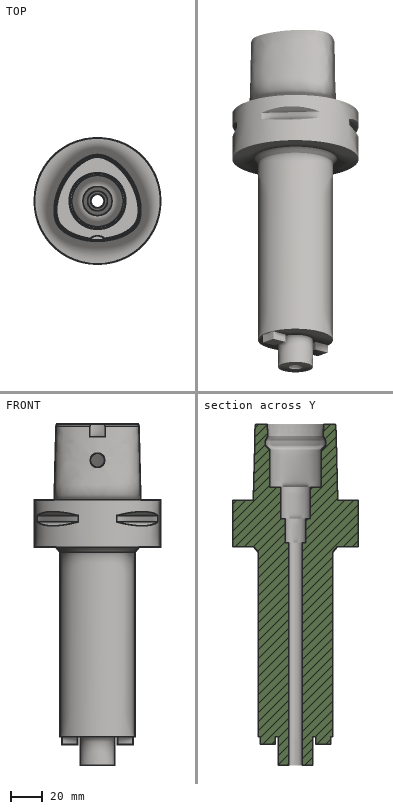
import cadquery as cq
import math


shank_diameter = 55.0
outline_points = 24
lobe_height = 1.95
shank_length = 48.0
taper_rate = 1 / 20
rim_chamfer_height = 1.4
rim_chamfer_width = 0.5

flange_diameter = 80.0
flange_length = 30.0
neck_diameter = 52.8
neck_length = 3.2
stem_diameter = 47.5
stem_end = -150.0
arbor_diameter = 22.0
arbor_length = 18.0

key_width = 10.0
key_height = 5.0
key_inner_radius = 12.5
key_outer_radius = 22.5

notch_count = 4
notch_centre = -12.0
notch_floor_height = 4.0
notch_floor_distance = 35.5
notch_flare = 2.5

mouth_diameter = 35.8
throat_diameter = 34.8
throat_depth = 7.6
groove_diameter = 37.8
groove_top_depth = 10.5
groove_bottom_depth = 13.6
cone_bottom_depth = 16.3
main_bore_diameter = 32.5
main_bore_depth = 40.0
pocket_diameter = 18.4
pocket_depth = 60.0
pilot_diameter = 12.5
pilot_depth = 75.0
through_diameter = 8.4

scallop_radius = 6.5
scallop_depth = 8.0
scallop_floor = 22.0
side_hole_diameter = 9.0
side_hole_depth = 23.0

shank_top = shank_length
arbor_end = stem_end - arbor_length
flange_radius = flange_diameter / 2


def lobed_outline(mean_radius, z):
    """Closed three-lobed curve of constant width, with one lobe towards +Y."""

    def point(fraction):
        normal_angle = 2 * math.pi * fraction - math.pi / 2
        lobe_phase = 3 * (normal_angle - math.pi / 2)
        support = mean_radius + lobe_height * math.cos(lobe_phase)
        slope = -3 * lobe_height * math.sin(lobe_phase)
        return (
            support * math.cos(normal_angle) - slope * math.sin(normal_angle),
            support * math.sin(normal_angle) + slope * math.cos(normal_angle),
        )

    points = [point(index / outline_points) for index in range(outline_points)]
    return cq.Workplane("XY", origin=(0, 0, z)).spline(points, periodic=True).wire().val()


def shank_radius(z):
    return (shank_diameter - taper_rate * z) / 2


def make_shank():
    chamfer_start = shank_top - rim_chamfer_height
    base = lobed_outline(shank_radius(0), 0)
    shoulder = lobed_outline(shank_radius(chamfer_start), chamfer_start)
    rim = lobed_outline(shank_radius(shank_top) - rim_chamfer_width, shank_top)
    return cq.Workplane(cq.Solid.makeLoft([base, shoulder, rim], True))


def revolve_profile(points):
    """Turn (Y, Z) points about the Z axis, starting on the -Y side."""
    return cq.Workplane("YZ").polyline(points).close().revolve(360, (0, 0), (0, 1))


def make_body():
    neck_top = -flange_length
    neck_end = neck_top - neck_length
    return revolve_profile([
        (0, 0),
        (-flange_radius, 0),
        (-flange_radius, neck_top),
        (-neck_diameter / 2, neck_top),
        (-stem_diameter / 2, neck_end),
        (-stem_diameter / 2, stem_end),
        (-arbor_diameter / 2, stem_end),
        (-arbor_diameter / 2, arbor_end),
        (0, arbor_end),
    ])


def make_keys():
    key_length = key_outer_radius - key_inner_radius
    key_centre = (key_outer_radius + key_inner_radius) / 2
    return (
        cq.Workplane("XY", origin=(0, 0, stem_end))
        .pushPoints([(-key_centre, 0), (key_centre, 0)])
        .rect(key_length, key_width)
        .extrude(-key_height)
    )


def make_notches():
    floor_top = notch_centre + notch_floor_height / 2
    floor_bottom = notch_centre - notch_floor_height / 2
    section = [
        (notch_floor_distance, floor_bottom),
        (notch_floor_distance, floor_top),
        (flange_radius, floor_top + notch_flare),
        (flange_radius, floor_bottom - notch_flare),
    ]
    notch = cq.Workplane("XZ").polyline(section).close().extrude(flange_radius, both=True)
    spacing = 360 / notch_count
    notches = cq.Workplane("XY")
    for index in range(notch_count):
        notches = notches.add(notch.rotate((0, 0, 0), (0, 0, 1), spacing * (index + 0.5)))
    return notches.combine()


def make_bore():
    return revolve_profile([
        (0, shank_top),
        (-mouth_diameter / 2, shank_top),
        (-throat_diameter / 2, shank_top - throat_depth),
        (-groove_diameter / 2, shank_top - groove_top_depth),
        (-groove_diameter / 2, shank_top - groove_bottom_depth),
        (-main_bore_diameter / 2, shank_top - cone_bottom_depth),
        (-main_bore_diameter / 2, shank_top - main_bore_depth),
        (-pocket_diameter / 2, shank_top - main_bore_depth),
        (-pocket_diameter / 2, shank_top - pocket_depth),
        (-pilot_diameter / 2, shank_top - pocket_depth),
        (-pilot_diameter / 2, shank_top - pilot_depth),
        (-through_diameter / 2, shank_top - pilot_depth),
        (-through_diameter / 2, arbor_end),
        (0, arbor_end),
    ])


def make_scallop():
    return (
        cq.Workplane("XY", origin=(0, -scallop_floor - scallop_radius, shank_top))
        .circle(scallop_radius)
        .extrude(-scallop_depth)
    )


def make_side_hole():
    """Radial hole from the -Y side into the main bore."""
    return (
        cq.Workplane("XZ", origin=(0, 0, shank_top - side_hole_depth))
        .circle(side_hole_diameter / 2)
        .extrude(shank_diameter)
    )


result = make_body().union(make_shank()).union(make_keys())
for cutter in (make_notches(), make_bore(), make_scallop(), make_side_hole()):
    result = result.cut(cutter)